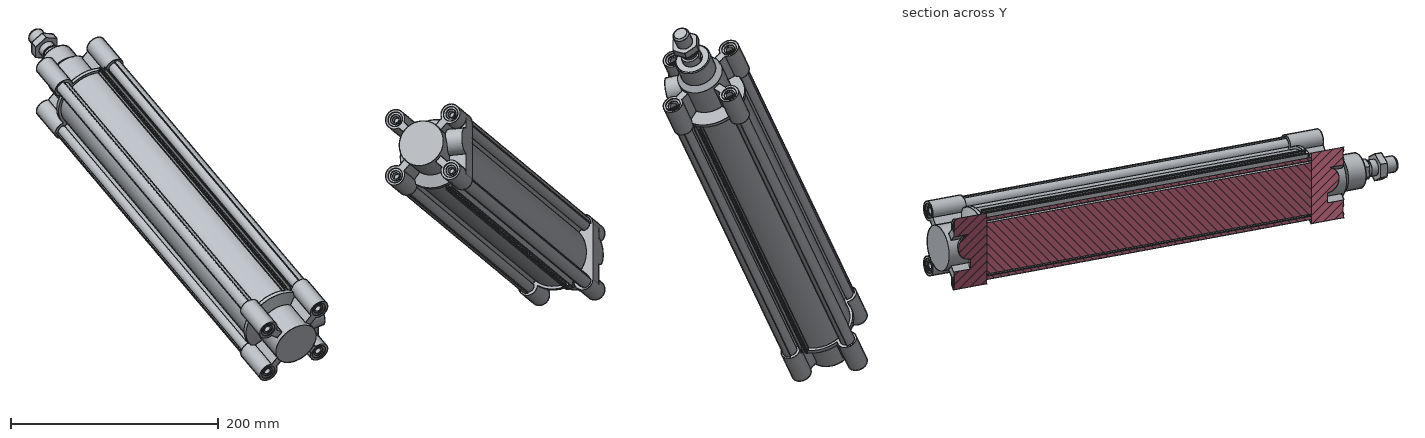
import cadquery as cq
import math


overall_length = 499.0
nut_start = 14.5
nut_length = 7.5
neck_start = 29.0
shank_start = 32.0
wrench_flat_end = 38.5
collar_front = 40.0
collar_end = 60.0
hub_front = 65.0
boss_front = 68.0
barrel_start = 104.0
barrel_end = 458.0
rear_boss_end = 494.5

boss_pitch = 56.5
boss_diameter = 19.5
web_thickness = 7.5
hub_diameter = 45.0
collar_diameter = 35.0
collar_chamfer = 1.0
flange_diameter = 68.5
flange_thickness = 3.5
front_flange_cone = 4.5
rear_flange_thickness = 4.0
rear_flange_cone = 4.0

recess_diameter = 14.5
recess_depth = 1.0
screw_hole_diameter = 10.0
screw_hole_depth = 2.0
socket_diameter = 6.5
socket_depth = 7.5

port_diameter = 26.0
port_height = 5.0
port_root = 21.0

barrel_diameter = 63.0
lobe_head_diameter = 16.0
lobe_side_diameter = 13.0
lobe_web = 5.0

lip_thickness = 0.75
lip_root = 25.0
inner_lip_root_y = 8.0
inner_lip_top_y = 11.0
inner_lip_knee = 33.0
inner_lip_top = 36.0
hook_width = 2.0
outer_lip_y = 17.0
outer_lip_top = 34.0

rod_diameter = 20.0
thread_diameter = 16.0
thread_tip_diameter = 13.0
thread_tip_length = 2.0
neck_diameter = 15.0
rod_across_flats = 17.0
nut_across_flats = 24.0
nut_chamfer = 0.75

half_pitch = boss_pitch / 2
boss_radius = boss_diameter / 2
side_face = half_pitch + boss_radius


def disc(start, length, diameter, y=0.0, z=0.0):
    """Cylinder along X with its axis at (y, z)."""
    return cq.Workplane("YZ", origin=(start, y, z)).circle(diameter / 2).extrude(length)


def box(x_range, y_range, z_range):
    """Block between the given limits."""
    size = [high - low for low, high in (x_range, y_range, z_range)]
    corner = (x_range[0], y_range[0], z_range[0])
    return cq.Workplane("XY", origin=corner).box(*size, centered=False)


def turned(points):
    """Solid of revolution about X from (x, radius) points; the axis closes the outline."""
    outline = [(points[0][0], 0), *points, (points[-1][0], 0)]
    return cq.Workplane("XY").polyline(outline).close().revolve(360, (0, 0, 0), (1, 0, 0))


def diagonal_web(start, end, thickness):
    """Flat web from the axis to the +Y +Z corner centre."""
    reach = half_pitch * math.sqrt(2)
    web = box((start, end), (0, reach), (-thickness / 2, thickness / 2))
    return web.rotate((0, 0, 0), (1, 0, 0), 45)


def corner_boss(start, end):
    """Round corner boss at +Y +Z, joined to the hub by a diagonal web."""
    boss = disc(start, end - start, boss_diameter, half_pitch, half_pitch)
    return boss.union(diagonal_web(start, end, web_thickness))


def screw_recess(face, inward):
    """Stepped screw recess at +Y +Z, cut from `face` towards `inward` (+1 or -1 along X)."""
    steps = [
        (recess_depth, recess_diameter),
        (screw_hole_depth, screw_hole_diameter),
        (socket_depth, socket_diameter),
    ]
    cutter = cq.Workplane("YZ")
    for depth, diameter in steps:
        cutter = cutter.add(disc(face, inward * depth, diameter, half_pitch, half_pitch))
    return cutter.combine()


def around_axis(feature):
    """The +Y +Z corner feature repeated at all four corners."""
    copies = feature
    for turn in (90, 180, 270):
        copies = copies.union(feature.rotate((0, 0, 0), (1, 0, 0), turn))
    return copies


def port_block(boss_face, barrel_face):
    """Plate between the +Y bosses, with a round port boss along Y."""
    middle = (boss_face + barrel_face) / 2
    plate = box(sorted((middle, barrel_face)), (port_root, side_face), (-half_pitch, half_pitch))
    port = (
        cq.Workplane("XZ", origin=(middle, port_root, port_height))
        .circle(port_diameter / 2)
        .extrude(port_root - side_face)
    )
    return plate.union(port)


def end_cap(core, boss_face, barrel_face):
    """Turned core with four recessed corner bosses and a side port."""
    start, end = sorted((boss_face, barrel_face))
    inward = 1 if barrel_face > boss_face else -1
    cap = core.union(around_axis(corner_boss(start, end)))
    cap = cap.union(port_block(boss_face, barrel_face))
    return cap.cut(around_axis(screw_recess(boss_face, inward)))


def front_cap():
    """Front cap: chamfered guide collar, conical shoulder, hub and flange, bored for the piston rod."""
    hub_radius = hub_diameter / 2
    collar_radius = collar_diameter / 2
    flange_start = barrel_start - flange_thickness
    core = turned([
        (collar_front, collar_radius - collar_chamfer),
        (collar_front + collar_chamfer, collar_radius),
        (collar_end, collar_radius),
        (hub_front, hub_radius),
        (flange_start - front_flange_cone, hub_radius),
        (flange_start, flange_diameter / 2),
        (barrel_start, flange_diameter / 2),
    ])
    cap = end_cap(core, boss_front, barrel_start)
    return cap.cut(disc(collar_front, barrel_start - collar_front, rod_diameter))


def rear_cap():
    """Rear cap: flange against the barrel, tapering to a plain hub."""
    hub_radius = hub_diameter / 2
    flange_end = barrel_end + rear_flange_thickness
    core = turned([
        (barrel_end, flange_diameter / 2),
        (flange_end, flange_diameter / 2),
        (flange_end + rear_flange_cone, hub_radius),
        (overall_length, hub_radius),
    ])
    return end_cap(core, rear_boss_end, barrel_end)


def sensor_rail(length):
    """Two lips on the upper side of the barrel; the inner one has a leaning foot and a hooked top."""
    hook_end_y = inner_lip_top_y + hook_width
    hook_underside = inner_lip_top - lip_thickness
    inner = [
        (inner_lip_root_y, lip_root),
        (inner_lip_top_y, inner_lip_knee),
        (inner_lip_top_y, inner_lip_top),
        (hook_end_y, inner_lip_top),
        (hook_end_y, hook_underside),
        (inner_lip_top_y + lip_thickness, hook_underside),
        (inner_lip_top_y + lip_thickness, inner_lip_knee),
        (inner_lip_root_y + lip_thickness, lip_root),
    ]
    inner_lip = cq.Workplane("YZ", origin=(barrel_start, 0, 0)).polyline(inner).close().extrude(length)
    outer_lip = box(
        (barrel_start, barrel_start + length),
        (outer_lip_y, outer_lip_y + lip_thickness),
        (lip_root, outer_lip_top),
    )
    return inner_lip.union(outer_lip)


def corner_lobe():
    """Lobe at +Y +Z: an outer quarter-round head over slightly recessed quarter-round sides."""
    head = lobe_head_diameter / 2
    side = lobe_side_diameter / 2
    outline = (
        cq.Workplane("YZ", origin=(barrel_start, half_pitch, half_pitch))
        .moveTo(head, 0)
        .radiusArc((0, head), -head)
        .lineTo(0, side)
        .radiusArc((-side, 0), -side)
        .lineTo(0, 0)
        .lineTo(0, -side)
        .radiusArc((side, 0), -side)
        .close()
    )
    lobe = outline.extrude(barrel_end - barrel_start)
    return lobe.union(diagonal_web(barrel_start, barrel_end, lobe_web))


def barrel_body():
    """Round barrel with four corner lobes and two sensor rails."""
    length = barrel_end - barrel_start
    body = disc(barrel_start, length, barrel_diameter)
    body = body.union(around_axis(corner_lobe()))
    rail = sensor_rail(length)
    return body.union(rail).union(rail.mirror("XY"))


def piston_rod():
    """Piston rod with threaded tip, thread relief and two wrench flats facing +Y and -Y."""
    thread_radius = thread_diameter / 2
    rod_radius = rod_diameter / 2
    rod = turned([
        (0, thread_tip_diameter / 2),
        (thread_tip_length, thread_radius),
        (neck_start, thread_radius),
        (neck_start, neck_diameter / 2),
        (shank_start, neck_diameter / 2),
        (shank_start, rod_radius),
        (barrel_start, rod_radius),
    ])
    for side in (-1, 1):
        flat_y = side * rod_across_flats / 2
        outside_y = side * rod_diameter
        rod = rod.cut(box(
            (shank_start, wrench_flat_end),
            sorted((flat_y, outside_y)),
            (-rod_diameter, rod_diameter),
        ))
    return rod


def lock_nut():
    """Hexagon nut with corners towards +Z and -Z, chamfered on its outer face."""
    corner_diameter = nut_across_flats / math.cos(math.pi / 6)
    nut = (
        cq.Workplane("YZ", origin=(nut_start, 0, 0))
        .transformed(rotate=(0, 0, 90))
        .polygon(6, corner_diameter)
        .extrude(nut_length)
    )
    corner = corner_diameter / 2
    rounded = turned([
        (nut_start, corner - nut_chamfer),
        (nut_start + nut_chamfer, corner),
        (nut_start + nut_length, corner),
    ])
    return nut.intersect(rounded).cut(disc(nut_start, nut_length, thread_diameter))


result = cq.Compound.makeCompound([
    front_cap().val(),
    barrel_body().val(),
    rear_cap().val(),
    piston_rod().val(),
    lock_nut().val(),
])